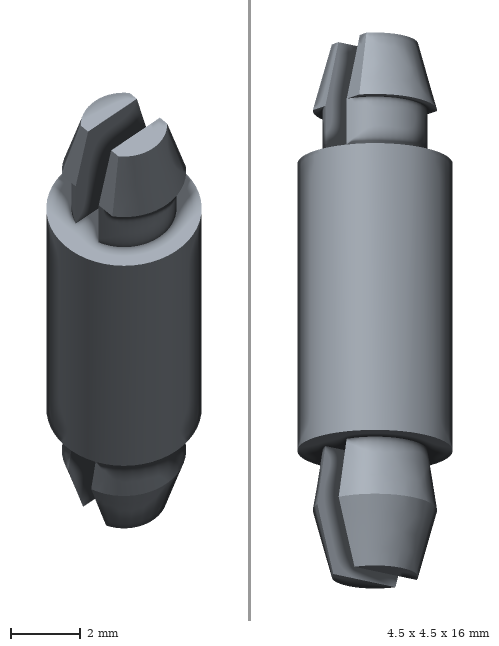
import cadquery as cq
import math

lower_tip_height = 2.0
lower_flare_height = 1.8
body_height = 8.6
neck_height = 1.6
upper_barb_height = 2.0

body_diameter = 4.5
neck_diameter = 3.04
barb_diameter = 3.6
tip_diameter = 2.5

slot_width = 1.0

flat_base_width = 2 * math.sqrt((neck_diameter / 2) ** 2 - (slot_width / 2) ** 2)
flat_tip_width = 1.9

barb_level = lower_tip_height
body_bottom = barb_level + lower_flare_height
body_top = body_bottom + body_height
upper_barb_base = body_top + neck_height


def cone(bottom_level, height, bottom_diameter, top_diameter):
    """Round frustum standing on the given level."""
    return cq.Workplane(obj=cq.Solid.makeCone(
        bottom_diameter / 2, top_diameter / 2, height, pnt=cq.Vector(0, 0, bottom_level)
    ))


def cylinder(bottom_level, height, diameter):
    return cq.Workplane(origin=(0, 0, bottom_level)).circle(diameter / 2).extrude(height)


def split(snap_end):
    """Cut the full-height slot, which runs along Y, through a snap end."""
    box = snap_end.val().BoundingBox()
    slot = (
        cq.Workplane(origin=(0, 0, box.zmin))
        .rect(slot_width, barb_diameter)
        .extrude(box.zlen, both=True)
    )
    return snap_end.cut(slot)


def make_lower_end():
    tip = cone(0, lower_tip_height, tip_diameter, barb_diameter)
    flare = cone(barb_level, lower_flare_height, barb_diameter, neck_diameter)
    return split(tip.union(flare))


def make_upper_end():
    neck = cylinder(body_top, neck_height, neck_diameter)
    barb = cone(upper_barb_base, upper_barb_height, barb_diameter, tip_diameter)
    upper_tip = upper_barb_base + upper_barb_height
    wedge = (
        cq.Workplane("YZ")
        .moveTo(-flat_base_width / 2, upper_barb_base)
        .lineTo(flat_base_width / 2, upper_barb_base)
        .lineTo(flat_tip_width / 2, upper_tip)
        .lineTo(-flat_tip_width / 2, upper_tip)
        .close()
        .extrude(barb_diameter, both=True)
    )
    return split(neck.union(barb.intersect(wedge)))


body = cylinder(body_bottom, body_height, body_diameter)
result = body.union(make_lower_end()).union(make_upper_end())